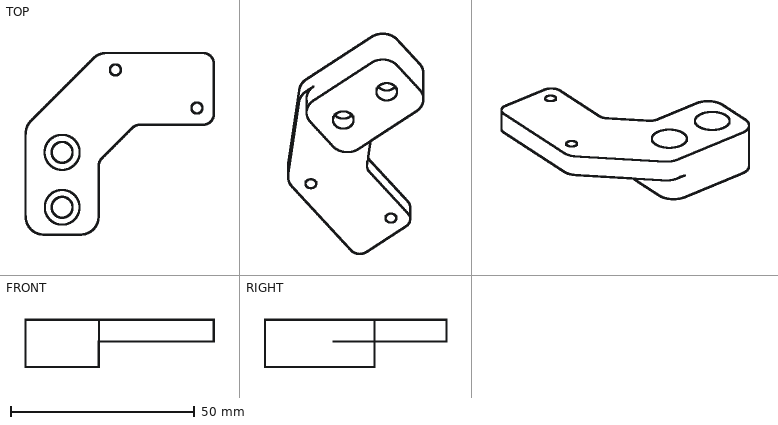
import cadquery as cq

total_length = 51.45
total_width = 49.65
total_height = 13.0
plate_thickness = 6.0

leg_width = 20.0
block_length = 30.0
outer_radius = 5.0

outer_slant = 20.0
inner_slant = 10.0
arm_radius = 3.0

screw_diameter = 5.65
screw_spacing = 15.0
screw_x = leg_width / 2
first_screw_y = (block_length - screw_spacing) / 2
counterbores = [
    (screw_x, first_screw_y, 9.5),
    (screw_x, first_screw_y + screw_spacing, 9.6),
]
counterbore_depth = 8.0

pin_diameter = 2.95
pin_centers = [(24.55, 45.0), (46.8, 34.6)]

plate_bottom = total_height - plate_thickness


def make_plate():
    """Angled plate with rounded corners, flush with the top of the part."""
    leg_corners = [(0, 0), (leg_width, 0)]
    arm_corners = [
        (leg_width, block_length - inner_slant),
        (leg_width + inner_slant, block_length),
        (total_length, block_length),
        (total_length, total_width),
    ]
    slant_corners = [(outer_slant, total_width), (0, total_width - outer_slant)]
    outline = leg_corners + arm_corners + slant_corners
    base = cq.Workplane("XY").workplane(offset=plate_bottom)
    plate = base.polyline(outline).close().extrude(plate_thickness)
    plate = round_corners(plate, leg_corners + slant_corners, outer_radius)
    return round_corners(plate, arm_corners, arm_radius)


def round_corners(body, corners, radius):
    """Fillet the vertical edges of the plate that stand on the given corners."""
    middle = plate_bottom + plate_thickness / 2
    for x, y in corners:
        edge = cq.selectors.NearestToPointSelector((x, y, middle))
        body = body.edges(edge).fillet(radius)
    return body


def make_block():
    """Block with rounded vertical edges under the leg of the plate."""
    block = cq.Workplane("XY").box(leg_width, block_length, plate_bottom, centered=False)
    return block.edges("|Z").fillet(outer_radius)


def cut_screw_holes(body):
    """Counterbored holes, sunk from the top face."""
    for x, y, diameter in counterbores:
        top = cq.Workplane("XY").workplane(offset=total_height).center(x, y)
        body = body.cut(top.circle(screw_diameter / 2).extrude(-total_height))
        body = body.cut(top.circle(diameter / 2).extrude(-counterbore_depth))
    return body


def cut_pin_holes(body):
    """Plain holes through the thin arm."""
    top = cq.Workplane("XY").workplane(offset=total_height)
    return body.cut(top.pushPoints(pin_centers).circle(pin_diameter / 2).extrude(-plate_thickness))


result = make_plate().union(make_block())
result = cut_screw_holes(result)
result = cut_pin_holes(result)